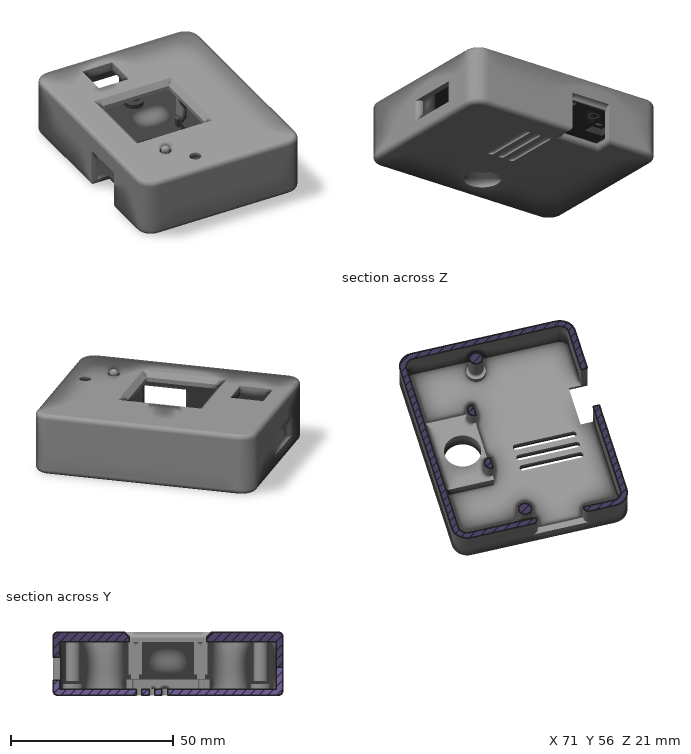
import cadquery as cq
CASE_LENGTH = 71.0
CASE_WIDTH = 56.0
CASE_HEIGHT = 19.5
CORNER_RADIUS = 5.0
EDGE_RADIUS = 1.5
WALL = 2.1
FLOOR = 2.0
ROOF = 3.0
SEAM_Z = 8.8
ROOF_Z = CASE_HEIGHT - ROOF

OPENING_TOP = 11.65
OPENING_EDGE_RADIUS = 1.5
SIDE_OPENING_SILL = 4.7
SIDE_OPENING_Y = (-13.3, 1.8)
FRONT_NOTCH_X = (1.9, 15.9)
FRONT_NOTCH_DEPTH = 6.0

SLOT_WIDTH = 2.0
SLOT_PITCH = 4.0
SLOT_COUNT = 3
FIRST_SLOT_X = -8.95
SLOT_Y = (-19.9, 0.4)

SCREEN_SIZE = 23.8
SCREEN_BEVEL = 1.6
SCREEN_CENTER = (0.0, -5.05)
KEY_SIZE = 10.6
KEY_CENTER = (-24.4, -8.45)
ROUND_HOLE_DIAMETER = 3.75
BUTTON_HOLE_CENTER = (28.5, -6.2)
BUTTON_POCKET_SIZE = 6.5
BUTTON_POCKET_SKIN = 0.7
LAMP_CENTER = (21.2, -12.7)

PLATFORM_LENGTH = 25.55
PLATFORM_HEIGHT = 2.9
PLATFORM_FRONT_Y = 9.65
PLATFORM_BACK_Y = CASE_WIDTH / 2 - WALL
PLATFORM_TOP = FLOOR + PLATFORM_HEIGHT
PLATFORM_HOLE_DIAMETER = 11.5
PLATFORM_HOLE_Y = 16.25
POST_DIAMETER = 4.2
POST_X = 10.15
POST_Y = 9.9
POST_BOTTOM = 6.45
PIN_DIAMETER = 2.5
PIN_BOTTOM = 5.1
GROOVE_DIAMETER = 2.0

STANDOFF_CENTERS = ((-29.4, 4.25), (28.55, 4.25))
STANDOFF_DIAMETER = 6.0
STANDOFF_HEIGHT = 1.5
COLUMN_DIAMETER = 4.2
COLUMN_BOTTOM = 4.4

LAMP_DIAMETER = 2.8
LAMP_TOP = 21.0
LAMP_DOME_RADIUS = 1.15


def block(x_range, y_range, z_range):
    """Box spanning the given ranges."""
    x0, x1 = x_range
    y0, y1 = y_range
    z0, z1 = z_range
    return cq.Workplane("XY").box(x1 - x0, y1 - y0, z1 - z0, centered=False).translate((x0, y0, z0))


def cylinder(center, diameter, z_range):
    """Upright cylinder."""
    z0, z1 = z_range
    return cq.Workplane("XY", origin=(*center, z0)).circle(diameter / 2).extrude(z1 - z0)


def rounded_block(inset, z_range):
    """Rounded rectangle of the case outline, moved inwards by the inset."""
    z0, z1 = z_range
    return (
        cq.Workplane("XY", origin=(0, 0, z0))
        .rect(CASE_LENGTH - 2 * inset, CASE_WIDTH - 2 * inset)
        .extrude(z1 - z0)
        .edges("|Z")
        .fillet(CORNER_RADIUS - inset)
    )


def open_walls(body):
    """Cut the side opening with rounded jambs and the front notch with a rounded head."""
    outer_x = -CASE_LENGTH / 2
    inner_x = outer_x + WALL
    front_y = -CASE_WIDTH / 2
    y0, y1 = SIDE_OPENING_Y
    radius = OPENING_EDGE_RADIUS
    side = (
        cq.Workplane("XY", origin=(0, 0, SIDE_OPENING_SILL))
        .moveTo(inner_x, y0)
        .lineTo(inner_x, y1)
        .lineTo(outer_x + radius, y1)
        .radiusArc((outer_x, y1 + radius), radius)
        .lineTo(outer_x, y0 - radius)
        .radiusArc((outer_x + radius, y0), radius)
        .close()
        .extrude(OPENING_TOP - SIDE_OPENING_SILL)
    )
    notch_back = front_y + WALL
    x0, x1 = FRONT_NOTCH_X
    notch = (
        cq.Workplane("YZ", origin=(x0, 0, 0))
        .moveTo(notch_back, 0)
        .lineTo(notch_back, OPENING_TOP)
        .lineTo(front_y + radius, OPENING_TOP)
        .radiusArc((front_y, OPENING_TOP + radius), -radius)
        .lineTo(front_y, 0)
        .close()
        .extrude(x1 - x0)
    )
    return body.cut(side).cut(notch)


def square_hole(center, size, z_range):
    """Square prism used to cut an opening in the roof."""
    z0, z1 = z_range
    return cq.Workplane("XY", origin=(*center, z0)).rect(size, size).extrude(z1 - z0)


def make_floor_slots():
    """Row of round-ended slots running along Y."""
    y0, y1 = SLOT_Y
    centers = [(FIRST_SLOT_X + i * SLOT_PITCH, (y0 + y1) / 2) for i in range(SLOT_COUNT)]
    return cq.Workplane("XY").pushPoints(centers).slot2D(y1 - y0, SLOT_WIDTH, 90).extrude(FLOOR)


def make_base():
    """Lower half of the case: floor, walls and standoffs."""
    front_y = -CASE_WIDTH / 2
    floor_notch = block(FRONT_NOTCH_X, (front_y, front_y + FRONT_NOTCH_DEPTH), (0, FLOOR))
    base = rounded_block(0, (0, SEAM_Z)).cut(floor_notch)
    base = base.faces("<Z").edges().fillet(EDGE_RADIUS)
    base = base.cut(rounded_block(WALL, (FLOOR, SEAM_Z)))
    base = open_walls(base)
    base = base.cut(make_floor_slots())
    base = base.cut(cylinder((0, PLATFORM_HOLE_Y), PLATFORM_HOLE_DIAMETER, (0, FLOOR)))
    for center in STANDOFF_CENTERS:
        base = base.union(cylinder(center, STANDOFF_DIAMETER, (FLOOR, FLOOR + STANDOFF_HEIGHT)))
    return base


def make_platform():
    """Raised plate on the floor with a large hole and two grooves in its front face."""
    half = PLATFORM_LENGTH / 2
    z_range = (FLOOR, PLATFORM_TOP)
    platform = block((-half, half), (PLATFORM_FRONT_Y, PLATFORM_BACK_Y), z_range)
    platform = platform.cut(cylinder((0, PLATFORM_HOLE_Y), PLATFORM_HOLE_DIAMETER, z_range))
    for x in (-POST_X, POST_X):
        platform = platform.cut(cylinder((x, POST_Y), GROOVE_DIAMETER, z_range))
    return platform


def make_post(x):
    """Roof post with a thinner pin below it, both cut flat in line with the platform's front."""
    post = cylinder((x, POST_Y), POST_DIAMETER, (POST_BOTTOM, ROOF_Z))
    post = post.union(cylinder((x, POST_Y), PIN_DIAMETER, (PIN_BOTTOM, POST_BOTTOM)))
    radius = POST_DIAMETER / 2
    front = block((x - radius, x + radius), (POST_Y - radius, PLATFORM_FRONT_Y), (PIN_BOTTOM, ROOF_Z))
    return post.cut(front)


def make_screen_opening():
    """Square opening with a bevelled rim."""
    wide = SCREEN_SIZE + 2 * SCREEN_BEVEL
    bevel = (
        cq.Workplane("XY", origin=(*SCREEN_CENTER, CASE_HEIGHT - SCREEN_BEVEL))
        .rect(SCREEN_SIZE, SCREEN_SIZE)
        .workplane(offset=SCREEN_BEVEL)
        .rect(wide, wide)
        .loft()
    )
    return square_hole(SCREEN_CENTER, SCREEN_SIZE, (ROOF_Z, CASE_HEIGHT)).union(bevel)


def make_lid():
    """Upper half of the case: roof, walls, posts and columns."""
    lid = rounded_block(0, (SEAM_Z, CASE_HEIGHT)).faces(">Z").edges().fillet(EDGE_RADIUS)
    lid = lid.cut(rounded_block(WALL, (SEAM_Z, ROOF_Z)))
    lid = open_walls(lid)
    lid = lid.cut(make_screen_opening())
    lid = lid.cut(square_hole(KEY_CENTER, KEY_SIZE, (ROOF_Z, CASE_HEIGHT)))
    for center in (BUTTON_HOLE_CENTER, LAMP_CENTER):
        lid = lid.cut(cylinder(center, ROUND_HOLE_DIAMETER, (ROOF_Z, CASE_HEIGHT)))
    pocket_top = CASE_HEIGHT - BUTTON_POCKET_SKIN
    lid = lid.cut(square_hole(BUTTON_HOLE_CENTER, BUTTON_POCKET_SIZE, (ROOF_Z, pocket_top)))
    for x in (-POST_X, POST_X):
        lid = lid.union(make_post(x))
    for center in STANDOFF_CENTERS:
        lid = lid.union(cylinder(center, COLUMN_DIAMETER, (COLUMN_BOTTOM, ROOF_Z)))
    return lid


def make_lamp():
    """Round indicator with a domed top."""
    lamp = cylinder(LAMP_CENTER, LAMP_DIAMETER, (ROOF_Z, LAMP_TOP))
    return lamp.faces(">Z").edges().fillet(LAMP_DOME_RADIUS)


base = make_base()
platform = make_platform()
lid = make_lid()
lamp = make_lamp()
result = cq.Compound.makeCompound([base.val(), platform.val(), lid.val(), lamp.val()])